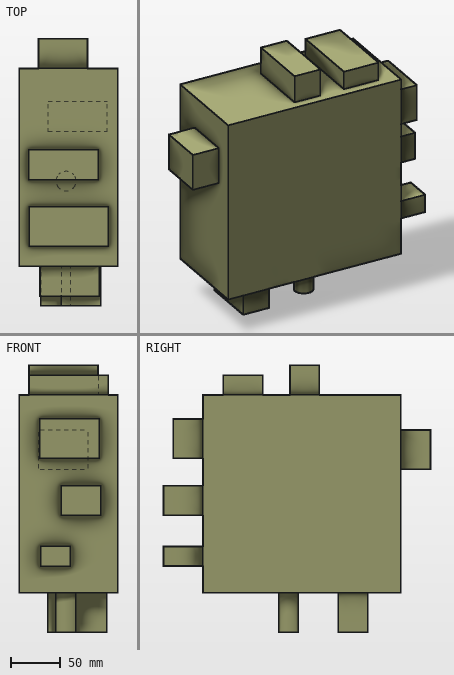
import cadquery as cq

body_width = 100.0
body_side = 200.0

low_height = 20.0
mid_height = 30.0
tall_height = 270.0 - body_side - mid_height

pin_diameter = 20.0
pin_x = 47.2
pin_y = 86.5


def block(corner, size):
    """Box given by its lowest X, Y, Z corner and its X, Y, Z size."""
    return cq.Workplane("XY").box(*size, centered=False).translate(corner)


def front_block(x, z, width, height, depth):
    """Block standing out of the -Y face."""
    return block((x, -depth, z), (width, depth, height))


def back_block(x, z, width, height, depth):
    """Block standing out of the +Y face."""
    return block((x, body_side, z), (width, depth, height))


def top_block(x, y, width, length, height):
    """Block standing on the +Z face."""
    return block((x, y, body_side), (width, length, height))


def bottom_block(x, y, width, length, height):
    """Block hanging from the -Z face."""
    return block((x, y, -height), (width, length, height))


def bottom_pin():
    """Round pin hanging from the -Z face."""
    pin = cq.Workplane("XY").center(pin_x, pin_y)
    return pin.circle(pin_diameter / 2).extrude(-tall_height)


attachments = [
    front_block(x=21.0, z=135.8, width=60.0, height=40.0, depth=mid_height),
    front_block(x=42.7, z=78.3, width=40.0, height=30.0, depth=tall_height),
    front_block(x=22.0, z=27.0, width=30.0, height=20.0, depth=tall_height),
    back_block(x=19.5, z=124.7, width=50.0, height=40.0, depth=mid_height),
    top_block(x=10.0, y=87.8, width=70.0, length=30.0, height=mid_height),
    top_block(x=10.3, y=20.5, width=80.0, length=40.0, height=low_height),
    bottom_block(x=29.0, y=136.5, width=60.0, length=30.0, height=tall_height),
    bottom_pin(),
]

result = block((0, 0, 0), (body_width, body_side, body_side))
for attachment in attachments:
    result = result.union(attachment)